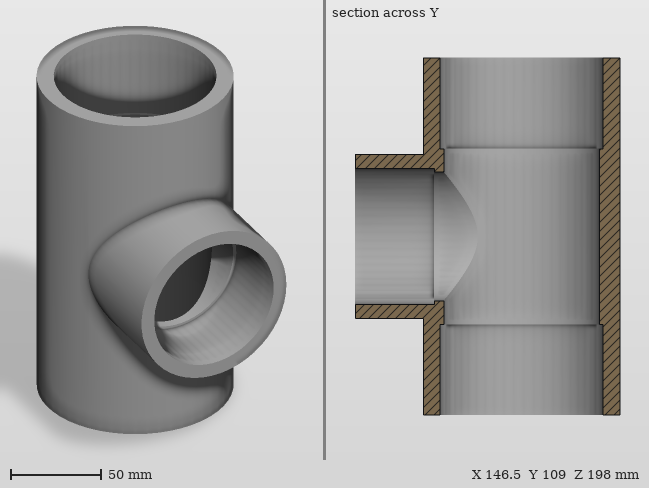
import cadquery as cq

main_length = 198.0
main_outer_diameter = 109.0
main_socket_diameter = 90.0
main_bore_diameter = 86.0
main_socket_depth = 50.3

total_width = 146.5
branch_outer_diameter = 91.0
branch_socket_diameter = 75.0
branch_bore_diameter = 71.0
branch_socket_depth = 43.5

branch_end = total_width - main_outer_diameter / 2


def main_cylinder(diameter, bottom, height):
    """Cylinder on the main axis, rising from the given Z."""
    return cq.Workplane("XY").workplane(offset=bottom).circle(diameter / 2).extrude(height)


def branch_cylinder(diameter, start, length):
    """Cylinder on the branch axis, running toward +X from the given X."""
    return cq.Workplane("YZ").workplane(offset=start).circle(diameter / 2).extrude(length)


body = main_cylinder(main_outer_diameter, -main_length / 2, main_length)
body = body.union(branch_cylinder(branch_outer_diameter, 0, branch_end))

body = body.cut(main_cylinder(main_bore_diameter, -main_length / 2, main_length))
body = body.cut(branch_cylinder(branch_bore_diameter, 0, branch_end))

for socket_bottom in (-main_length / 2, main_length / 2 - main_socket_depth):
    body = body.cut(main_cylinder(main_socket_diameter, socket_bottom, main_socket_depth))
branch_socket_start = branch_end - branch_socket_depth
body = body.cut(branch_cylinder(branch_socket_diameter, branch_socket_start, branch_socket_depth))

result = body